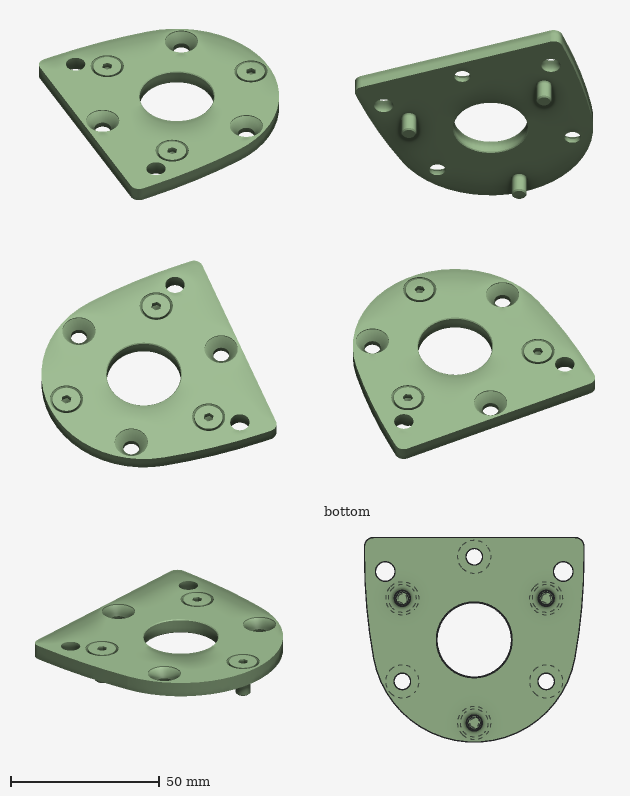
import cadquery as cq
import math

half_width = 37.0
crown_radius = 34.5
front_y = -crown_radius
plate_thickness = 5.0
corner_radius = 3.0
flank_start_y = -28.1
bore_diameter = 25.0
bore_chamfer = 0.3
side_hole_diameter = 6.5
side_hole_x = 30.0
side_hole_y = -23.0

bolt_circle_radius = 28.0
hole_count = 6
screw_count = hole_count // 2
first_hole_angle = 90.0
clearance_diameter = 5.5
countersink_diameter = 11.2
countersink_angle = 90.0
countersink_rim_depth = 0.4

screw_length = 12.0
shank_diameter = 5.0
head_diameter = 9.4
tip_chamfer = 0.45
socket_across_flats = 3.0
socket_sides = 6
socket_depth = 1.85
socket_point_angle = 120.0

half_angle_tangent = math.tan(math.radians(countersink_angle / 2))


def bolt_point(angle):
    return (
        bolt_circle_radius * math.cos(math.radians(angle)),
        bolt_circle_radius * math.sin(math.radians(angle)),
    )


def plate_outline():
    """Crown arc, blended by large tangent arcs into the straight sides."""
    crown_offset = half_width - crown_radius
    flank_radius = (flank_start_y**2 / crown_offset + half_width + crown_radius) / 2
    flank_center_x = half_width - flank_radius
    tangent_angle = math.atan2(-flank_start_y, -flank_center_x)
    crown_end_x = crown_radius * math.cos(tangent_angle)
    crown_end_y = crown_radius * math.sin(tangent_angle)
    flank_mid_x = flank_center_x + flank_radius * math.cos(tangent_angle / 2)
    flank_mid_y = flank_start_y + flank_radius * math.sin(tangent_angle / 2)
    return (
        cq.Workplane("XY")
        .moveTo(-half_width, front_y)
        .lineTo(half_width, front_y)
        .lineTo(half_width, flank_start_y)
        .threePointArc((flank_mid_x, flank_mid_y), (crown_end_x, crown_end_y))
        .threePointArc((0, crown_radius), (-crown_end_x, crown_end_y))
        .threePointArc((-flank_mid_x, flank_mid_y), (-half_width, flank_start_y))
        .close()
    )


def make_bore():
    """Cutter for the central bore, chamfered at both ends."""
    bore_radius = bore_diameter / 2
    chamfer_radius = bore_radius + bore_chamfer
    return (
        cq.Workplane("XZ")
        .moveTo(0, 0)
        .lineTo(chamfer_radius, 0)
        .lineTo(bore_radius, -bore_chamfer)
        .lineTo(bore_radius, bore_chamfer - plate_thickness)
        .lineTo(chamfer_radius, -plate_thickness)
        .lineTo(0, -plate_thickness)
        .close()
        .revolve(360, (0, 0), (0, 1))
    )


def make_countersunk_hole():
    """Cutter for one through hole with a conical seat."""
    rim_radius = countersink_diameter / 2
    hole_radius = clearance_diameter / 2
    cone_depth = (rim_radius - hole_radius) / half_angle_tangent
    return (
        cq.Workplane("XZ")
        .moveTo(0, 0)
        .lineTo(rim_radius, 0)
        .lineTo(rim_radius, -countersink_rim_depth)
        .lineTo(hole_radius, -countersink_rim_depth - cone_depth)
        .lineTo(hole_radius, -plate_thickness)
        .lineTo(0, -plate_thickness)
        .close()
        .revolve(360, (0, 0), (0, 1))
    )


def make_plate():
    plate = plate_outline().extrude(-plate_thickness)
    plate = plate.faces("<Y").edges("|Z").fillet(corner_radius)

    plate = plate.cut(make_bore())

    side_holes = (
        cq.Workplane("XY")
        .pushPoints([(-side_hole_x, side_hole_y), (side_hole_x, side_hole_y)])
        .circle(side_hole_diameter / 2)
        .extrude(-plate_thickness)
    )
    plate = plate.cut(side_holes)

    countersunk_hole = make_countersunk_hole()
    for i in range(hole_count):
        x, y = bolt_point(first_hole_angle + i * 360 / hole_count)
        plate = plate.cut(countersunk_hole.translate((x, y, 0)))
    return plate


def make_screw(angle):
    """Revolved screw seated on the countersink, with a hexagon socket."""
    head_radius = head_diameter / 2
    shank_radius = shank_diameter / 2
    head_rim_z = -countersink_rim_depth - (countersink_diameter / 2 - head_radius) / half_angle_tangent
    head_base_z = head_rim_z - (head_radius - shank_radius) / half_angle_tangent
    screw = (
        cq.Workplane("XZ")
        .moveTo(0, 0)
        .lineTo(head_radius, 0)
        .lineTo(head_radius, head_rim_z)
        .lineTo(shank_radius, head_base_z)
        .lineTo(shank_radius, tip_chamfer - screw_length)
        .lineTo(shank_radius - tip_chamfer, -screw_length)
        .lineTo(0, -screw_length)
        .close()
        .revolve(360, (0, 0), (0, 1))
    )
    socket = (
        cq.Workplane("XY")
        .polygon(socket_sides, socket_across_flats, circumscribed=True)
        .extrude(-socket_depth)
    )
    socket_radius = socket_across_flats / 2
    point_depth = socket_radius / math.tan(math.radians(socket_point_angle / 2))
    socket_point = cq.Workplane("XY").add(
        cq.Solid.makeCone(
            socket_radius, 0, point_depth, cq.Vector(0, 0, -socket_depth), cq.Vector(0, 0, -1)
        )
    )
    x, y = bolt_point(angle)
    return screw.cut(socket).cut(socket_point).translate((x, y, 0))


plate = make_plate()
screws = [make_screw(first_hole_angle + i * 360 / screw_count) for i in range(screw_count)]

result = cq.Compound.makeCompound([plate.val(), *[screw.val() for screw in screws]])